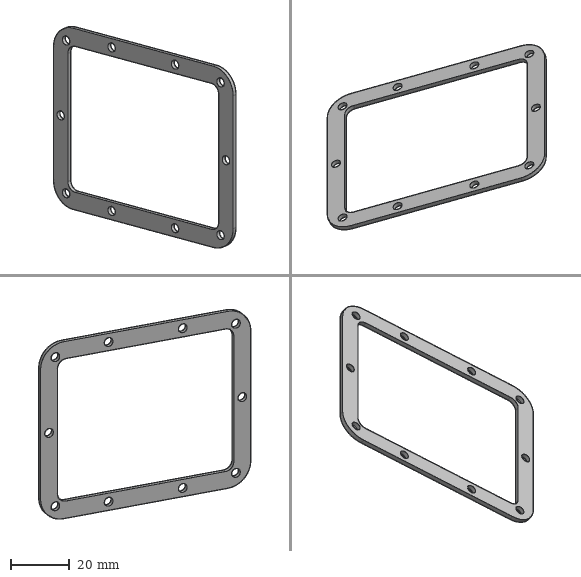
import cadquery as cq

width = 79.4
height = 65.4
thickness = 1.6
outer_corner_radius = 8.7

border = 6.4
window_width = width - 2 * border
window_height = height - 2 * border
window_corner_radius = 3.2

hole_diameter = 3.2
edge_hole_inset = border / 2
edge_hole_x = 14.0
corner_hole_x = 34.1
corner_hole_z = 27.55


def rounded_plate(plate_width, plate_height, corner_radius):
    """Rounded rectangular plate centred on the origin, thickness along Y."""
    return (
        cq.Workplane("XZ", origin=(0, thickness / 2, 0))
        .rect(plate_width, plate_height)
        .extrude(thickness)
        .edges("|Y")
        .fillet(corner_radius)
    )


def hole_centres():
    """Centres (x, z) of the ten screw holes, mirrored about both axes."""
    side_hole_x = width / 2 - edge_hole_inset
    edge_hole_z = height / 2 - edge_hole_inset
    centres = []
    for x_side in (-1, 1):
        centres.append((x_side * side_hole_x, 0))
        for z_side in (-1, 1):
            centres.append((x_side * edge_hole_x, z_side * edge_hole_z))
            centres.append((x_side * corner_hole_x, z_side * corner_hole_z))
    return centres


def screw_holes():
    """Cylinders that cut the screw holes through the full thickness."""
    return (
        cq.Workplane("XZ", origin=(0, thickness / 2, 0))
        .pushPoints(hole_centres())
        .circle(hole_diameter / 2)
        .extrude(thickness)
    )


frame = rounded_plate(width, height, outer_corner_radius)
window = rounded_plate(window_width, window_height, window_corner_radius)
result = frame.cut(window).cut(screw_holes())